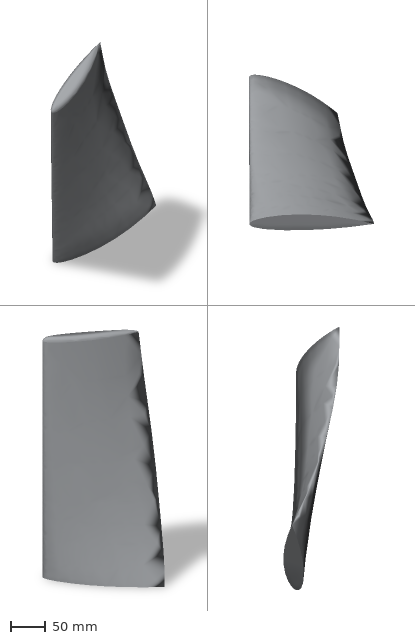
import cadquery as cq
import math

height = 377.2
cap_height = 6.8
blade_height = height - cap_height
nose_y = -81.0
nose_x_root = 9.0
nose_x_tip = 8.0

side_points = 14
tail_fullness = 0.4
peak_position = 0.39
root_thickness = 28.5
tip_thickness = 25.0
root_camber = 3.0
tip_camber = 2.3

trailing_edge = [
    (0.0, 103.0, 75.5),
    (43.8, 85.5, 80.5),
    (87.5, 69.8, 81.5),
    (172.8, 46.8, 80.5),
    (258.0, 28.5, 75.0),
    (309.5, 22.0, 70.0),
    (blade_height, 17.7, 64.0),
]

cap_nose_inset = 13.0
cap_tail_inset = 39.2
cap_top_thickness = 9.0
cap_steps = 8


def blend(start, end, fraction):
    return start + (end - start) * fraction


def thickness_shape(u):
    return math.sqrt(u) * (1 - u) * (1 + tail_fullness * u)


def airfoil(z, nose, tail, thickness, camber):
    """Closed airfoil wire at height z, with a round nose and a sharp tail."""
    chord_x = tail[0] - nose[0]
    chord_y = tail[1] - nose[1]
    chord = math.hypot(chord_x, chord_y)
    points = []
    for i in range(2 * side_points + 1):
        angle = math.pi * i / side_points
        u = (1 + math.cos(angle)) / 2
        side = 1 if i <= side_points else -1
        half = thickness / 2 * thickness_shape(u) / thickness_shape(peak_position)
        offset = side * half + camber * 4 * u * (1 - u)
        x = nose[0] + u * chord_x + offset * chord_y / chord
        y = nose[1] + u * chord_y - offset * chord_x / chord
        points.append(cq.Vector(x, y, z))
    points[-1] = points[0]
    return cq.Wire.assembleEdges([cq.Edge.makeSpline(points)])


def make_blade():
    sections = []
    for z, tail_x, tail_y in trailing_edge:
        fraction = z / blade_height
        nose = (blend(nose_x_root, nose_x_tip, fraction), nose_y)
        thickness = blend(root_thickness, tip_thickness, fraction)
        camber = blend(root_camber, tip_camber, fraction)
        sections.append(airfoil(z, nose, (tail_x, tail_y), thickness, camber))
    return cq.Solid.makeLoft(sections)


def make_cap():
    tail_x, tail_y = trailing_edge[-1][1:]
    chord_x = tail_x - nose_x_tip
    chord_y = tail_y - nose_y
    chord = math.hypot(chord_x, chord_y)
    sections = []
    for i in range(cap_steps + 1):
        angle = math.pi / 2 * i / cap_steps
        inset = 1 - math.cos(angle)
        nose_shift = cap_nose_inset * inset / chord
        tail_shift = cap_tail_inset * inset / chord
        nose = (nose_x_tip + chord_x * nose_shift, nose_y + chord_y * nose_shift)
        tail = (tail_x - chord_x * tail_shift, tail_y - chord_y * tail_shift)
        thickness = blend(tip_thickness, cap_top_thickness, inset)
        z = blade_height + cap_height * math.sin(angle)
        sections.append(airfoil(z, nose, tail, thickness, tip_camber))
    return cq.Solid.makeLoft(sections)


result = cq.Workplane(obj=make_blade()).union(cq.Workplane(obj=make_cap()))